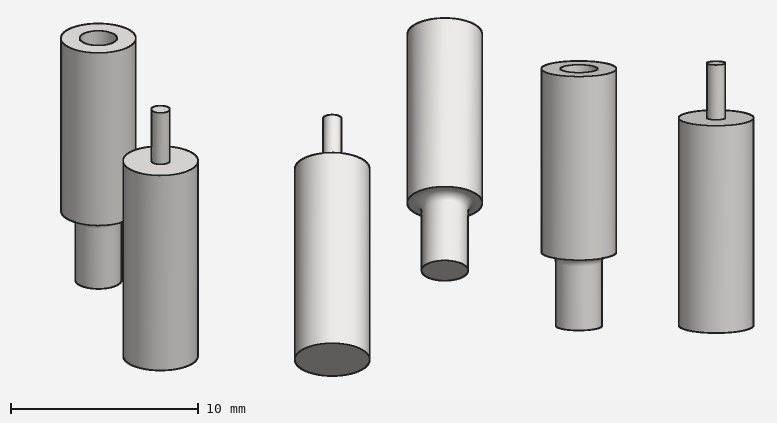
import cadquery as cq

overall_length = 23.72
overall_width = 7.2
overall_height = 18.3
barrel_diameter = 4.0

socket_height = 10.0
bore_diameter = 2.0
shank_diameter = 2.5
shank_length = 4.0
shank_fillet = 0.5

pin_diameter = 1.0
pin_length = 3.0
plug_height = overall_height - shank_length - pin_length
plug_x = overall_length - barrel_diameter
plug_y = barrel_diameter - overall_width

bore_depth = pin_length


def make_socket():
    barrel = cq.Workplane("XY").circle(barrel_diameter / 2).extrude(socket_height)
    shank = cq.Workplane("XY").circle(shank_diameter / 2).extrude(-shank_length)
    bore = (
        cq.Workplane("XY", origin=(0, 0, socket_height))
        .circle(bore_diameter / 2)
        .extrude(-bore_depth)
    )
    body = barrel.union(shank)

    shank_rims = body.edges(cq.selectors.RadiusNthSelector(0))
    body = shank_rims.edges(">Z").fillet(shank_fillet)
    return body.cut(bore)


def make_plug():
    barrel = cq.Workplane("XY").circle(barrel_diameter / 2).extrude(plug_height)
    pin = (
        cq.Workplane("XY", origin=(0, 0, plug_height))
        .circle(pin_diameter / 2)
        .extrude(pin_length)
    )
    return barrel.union(pin).translate((plug_x, plug_y, 0))


socket = make_socket()
plug = make_plug()
result = cq.Compound.makeCompound([socket.val(), plug.val()])